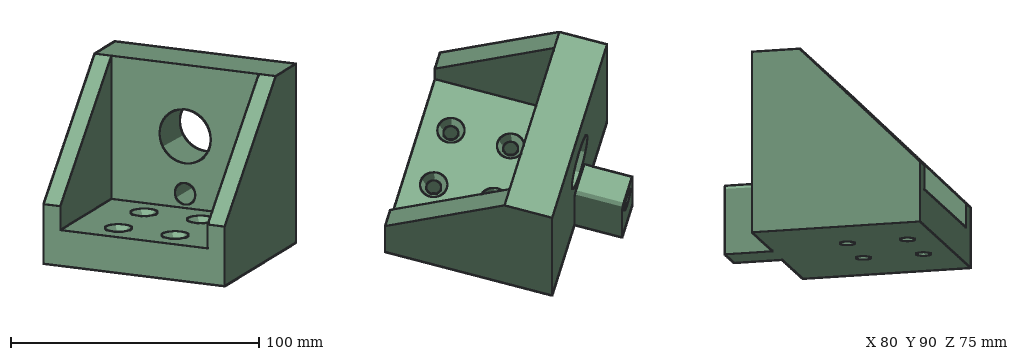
import cadquery as cq

width = 80.0
height = 75.0
total_depth = 90
tongue_length = 20.0
bracket_depth = total_depth - tongue_length

back_thickness = 20.0
floor_thickness = 15.0
side_thickness = 7.5
side_front_height = 25.0
back_face_y = bracket_depth - back_thickness

tongue_width = 15.0
tongue_height = 29.0
tongue_edge_radius = 2.2

bore_diameter = 22.5
bore_height = 45
pin_hole_diameter = 9
pin_hole_height = 21.0

screw_diameter = 6.0
countersink_diameter = 11.0
countersink_angle = 90
screw_spacing = 25.0
screw_center_y = back_face_y / 2


def make_bracket():
    """Gusset profile across the full width, hollowed between the side walls."""
    body = (
        cq.Workplane("YZ")
        .polyline([
            (0, 0),
            (bracket_depth, 0),
            (bracket_depth, height),
            (back_face_y, height),
            (0, side_front_height),
        ])
        .close()
        .extrude(width / 2, both=True)
    )
    pocket = (
        cq.Workplane("XY", origin=(0, 0, floor_thickness))
        .rect(width - 2 * side_thickness, 2 * back_face_y)
        .extrude(height)
    )
    return body.cut(pocket)


def make_tongue():
    """Upright block behind the back wall with rounded upper edges."""
    return (
        cq.Workplane("XY", origin=(0, bracket_depth, 0))
        .box(tongue_width, tongue_length, tongue_height, centered=(True, False, False))
        .edges("|Y and >Z")
        .fillet(tongue_edge_radius)
    )


def make_lengthwise_hole(diameter, center_height):
    """Cutter along Y through the whole part."""
    return (
        cq.Workplane("XZ", origin=(0, total_depth, center_height))
        .circle(diameter / 2)
        .extrude(total_depth)
    )


result = make_bracket().union(make_tongue())
result = result.cut(make_lengthwise_hole(bore_diameter, bore_height))
result = result.cut(make_lengthwise_hole(pin_hole_diameter, pin_hole_height))

result = (
    result.copyWorkplane(cq.Workplane("XY", origin=(0, screw_center_y, floor_thickness)))
    .rarray(screw_spacing, screw_spacing, 2, 2)
    .cskHole(screw_diameter, countersink_diameter, countersink_angle)
)